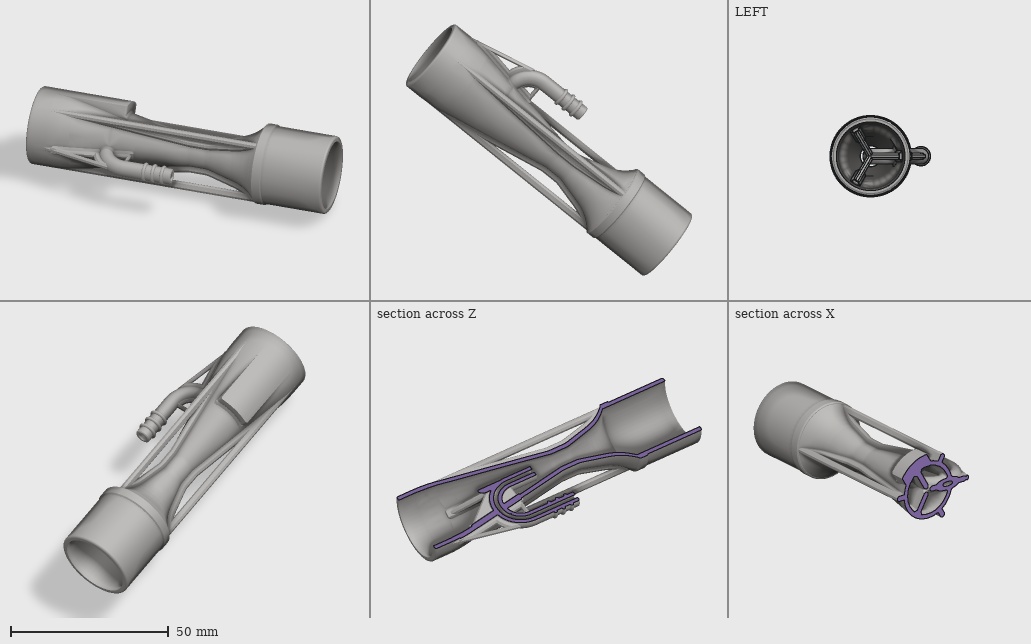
import cadquery as cq
import math

LENGTH = 97.8
END_RADIUS = 25.0 / 2
BORE_RADIUS = 21.8 / 2
WALL = END_RADIUS - BORE_RADIUS
THROAT_RADIUS = 6.55 / 2 + WALL
END_ROUND = 0.7

COLLAR_RADIUS = 25.8 / 2
COLLAR_START = 74.6
COLLAR_END = 78.0
COLLAR_CHAMFER = 0.4

INLET_END = 6.3
INLET_CONE_START = 13.9
INLET_CONE_END = 50.8
THROAT_START = 51.9
THROAT_END = 56.6
OUTLET_CONE_START = 58.4
OUTLET_CONE_END = 66.4
FLARE_END = 73.7

INLET_ANGLE = math.radians(10.5)
OUTLET_ANGLE = math.radians(14.8)
FLARE_ANGLE = math.radians(45)

RIB_THICKNESS = 2.0
RIB_CHAMFER = 0.6
RIB_ANGLES = (0, 120, 240)
BAR_DEPTH = 2.5
STRIP_HEIGHT = 1.9
ROOT_SIZE = 0.6

PAD_END = 29.8
PAD_WIDTH = 11.6
PAD_ANGLE = 60
PAD_ROUND = 0.8
PAD_ROOT = 0.7
PAD_ROOT_BEVEL = 0.67

PIPE_RADIUS = 5.0 / 2
PIPE_BORE_RADIUS = 3.0 / 2
PIPE_ENTRY_X = 26.0
BEND_RADIUS = 7.6
BEND_X = PIPE_ENTRY_X + BEND_RADIUS
PIPE_END = 49.7
PIPE_CHAMFER = 0.3
NOZZLE_END = 43.0
BARB_STATIONS = (40.8, 43.7, 46.7)
BARB_ROUND = 0.6
BARB_RADIUS = 6.2 / 2
BARB_REACH = 19.0
PIPE_OFFSET = BARB_REACH - BARB_RADIUS

WALL_GAP = 0.001
EDGE_SAMPLES = (0.1, 0.3, 0.5, 0.8)

WEB_END = BEND_X + 0.3
WEB_ROOT_START = 8.5
WEB_SLOPE = math.radians(12.2)
WEB_BAR = 1.3
WEB_BEND_MARGIN = 1.6
WEB_INSIDE_MARGIN = 0.6
VANE_START = 14.3
VANE_START_RADIUS = 10.1
VANE_NOSE_X = 25.4
VANE_ROOT_SIZE = 1.0
VANE_ANGLES = (60, 180, 300)


def wall_profile(offset):
    """Area between the axis and the outer wall line moved out by `offset`."""
    inlet_cone_radius = END_RADIUS - (INLET_CONE_START - INLET_END) * math.tan(INLET_ANGLE / 2)
    inlet_neck_radius = THROAT_RADIUS + (THROAT_START - INLET_CONE_END) * math.tan(INLET_ANGLE / 2)
    outlet_neck_radius = THROAT_RADIUS + (OUTLET_CONE_START - THROAT_END) * math.tan(OUTLET_ANGLE / 2)
    outlet_cone_radius = outlet_neck_radius + (OUTLET_CONE_END - OUTLET_CONE_START) * math.tan(OUTLET_ANGLE)
    flare_mean_angle = (OUTLET_ANGLE + FLARE_ANGLE) / 2
    flare_radius = outlet_cone_radius + (FLARE_END - OUTLET_CONE_END) * math.tan(flare_mean_angle)
    rise_to_end = END_RADIUS - flare_radius
    return (
        cq.Workplane("XY")
        .moveTo(0, 0)
        .lineTo(0, END_RADIUS + offset)
        .lineTo(INLET_END, END_RADIUS + offset)
        .tangentArcPoint((INLET_CONE_START, inlet_cone_radius + offset), relative=False)
        .lineTo(INLET_CONE_END, inlet_neck_radius + offset)
        .tangentArcPoint((THROAT_START, THROAT_RADIUS + offset), relative=False)
        .lineTo(THROAT_END, THROAT_RADIUS + offset)
        .tangentArcPoint((OUTLET_CONE_START, outlet_neck_radius + offset), relative=False)
        .lineTo(OUTLET_CONE_END, outlet_cone_radius + offset)
        .tangentArcPoint((FLARE_END, flare_radius + offset), relative=False)
        .lineTo(FLARE_END + rise_to_end / math.tan(FLARE_ANGLE), END_RADIUS + offset)
        .lineTo(LENGTH, END_RADIUS + offset)
        .lineTo(LENGTH, 0)
        .close()
    )


def revolve_about_x(profile):
    return profile.revolve(360, (0, 0, 0), (1, 0, 0))


def plate(outline, thickness=RIB_THICKNESS):
    """Extrude an outline evenly to both sides of the XY plane."""
    return outline.extrude(thickness / 2, both=True)


def break_edges(flat):
    """Bevel every edge of both faces of a plate."""
    return flat.faces("<Z or >Z").edges().chamfer(RIB_CHAMFER)


def slope_root(slab, size):
    """Bevel a slab so that it slopes from the side of a rib down to the wall."""
    return slab.faces("<Z or >Z").edges().chamfer(size)


def turn(shape, angle):
    return shape.rotate((0, 0, 0), (1, 0, 0), angle)


def rectangle(x_min, x_max, y_min, y_max):
    return (
        cq.Workplane("XY")
        .moveTo((x_min + x_max) / 2, (y_min + y_max) / 2)
        .rect(x_max - x_min, y_max - y_min)
    )


def make_tube():
    tube = revolve_about_x(wall_profile(0))
    tube = tube.faces("<X or >X").edges().fillet(END_ROUND)
    collar = (
        cq.Workplane("YZ", origin=(COLLAR_START, 0, 0))
        .circle(COLLAR_RADIUS)
        .extrude(COLLAR_END - COLLAR_START)
        .edges()
        .chamfer(COLLAR_CHAMFER)
    )
    return tube.union(collar)


def make_rib():
    """Full-length rib on +Y, opened between its outer bar and the wall."""
    blank = plate(rectangle(INLET_END, COLLAR_START + COLLAR_CHAMFER, 0, END_RADIUS))
    window = plate(rectangle(INLET_END, COLLAR_START, 0, END_RADIUS - BAR_DEPTH))
    window = window.cut(plate(wall_profile(STRIP_HEIGHT)))
    return break_edges(blank.cut(window))


def make_pad():
    """Label pad flush with the tube end, its free end sloping down onto the cone."""

    def block(x_min, x_max):
        return plate(rectangle(x_min, x_max, 0, COLLAR_RADIUS), PAD_WIDTH)

    pad = block(INLET_END, PAD_END).edges(">X and |Y").fillet(PAD_ROUND)
    pad = pad.intersect(revolve_about_x(rectangle(0, LENGTH, 0, END_RADIUS)))
    root = block(PAD_END - PAD_ROUND, PAD_END + PAD_ROOT)
    root = root.intersect(revolve_about_x(wall_profile(PAD_ROOT)))
    root = root.faces(">X").edges("%CIRCLE").chamfer(PAD_ROOT_BEVEL)
    return turn(pad.union(root), PAD_ANGLE)


def pipe_path():
    """Runs from the nozzle tip on the axis, out through the wall on -Y and back along +X."""
    bend_reach = BEND_RADIUS * math.sqrt(0.5)
    outer_bend_y = BEND_RADIUS - PIPE_OFFSET
    return (
        cq.Workplane("XY")
        .moveTo(NOZZLE_END, 0)
        .lineTo(BEND_X, 0)
        .threePointArc((BEND_X - bend_reach, bend_reach - BEND_RADIUS), (PIPE_ENTRY_X, -BEND_RADIUS))
        .lineTo(PIPE_ENTRY_X, outer_bend_y)
        .threePointArc((BEND_X - bend_reach, outer_bend_y - bend_reach), (BEND_X, -PIPE_OFFSET))
        .lineTo(PIPE_END, -PIPE_OFFSET)
    )


def sweep_pipe(radius):
    return cq.Workplane("YZ", origin=(NOZZLE_END, 0, 0)).circle(radius).sweep(pipe_path())


def make_pipe():
    pipe = sweep_pipe(PIPE_RADIUS)
    pipe = pipe.faces(">X").edges().chamfer(PIPE_CHAMFER)
    ring_radius = BARB_RADIUS - BARB_ROUND
    for station in BARB_STATIONS:
        barb = (
            cq.Workplane("XY")
            .center(station, ring_radius - PIPE_OFFSET)
            .circle(BARB_ROUND)
            .revolve(360, (0, -ring_radius, 0), (1, -ring_radius, 0))
        )
        pipe = pipe.union(barb)
    return pipe


def make_outer_web():
    """Gusset between wall and pipe bend, with a window on each side of the bend."""
    bend_center = (BEND_X, BEND_RADIUS - PIPE_OFFSET)

    def web_line(x, inset):
        return inset - END_RADIUS - (x - INLET_END) * math.tan(WEB_SLOPE)

    def below_edge(inset, x_end):
        return (
            cq.Workplane("XY")
            .moveTo(INLET_END, 0)
            .lineTo(INLET_END, web_line(INLET_END, inset))
            .lineTo(x_end, web_line(x_end, inset))
            .lineTo(x_end, 0)
            .close()
        )

    def disc(radius):
        return plate(cq.Workplane("XY").center(*bend_center).circle(radius))

    wall_strip = plate(wall_profile(STRIP_HEIGHT)).mirror("XZ")
    bend_outside = BEND_RADIUS + PIPE_RADIUS
    bend_inside = BEND_RADIUS - PIPE_RADIUS
    front_window = plate(below_edge(WEB_BAR, PIPE_ENTRY_X)).cut(wall_strip)
    front_window = front_window.cut(disc(bend_outside + WEB_BEND_MARGIN))
    rear_window = disc(bend_inside - WEB_INSIDE_MARGIN).cut(wall_strip)
    rear_window = rear_window.intersect(plate(rectangle(PIPE_ENTRY_X, WEB_END - WEB_BAR, -PIPE_OFFSET, 0)))
    front = plate(below_edge(0, PIPE_ENTRY_X + PIPE_RADIUS))
    rear = plate(rectangle(PIPE_ENTRY_X, WEB_END, -PIPE_OFFSET, 0))
    web = front.union(rear).cut(front_window).cut(rear_window)

    root_thickness = RIB_THICKNESS + 2 * ROOT_SIZE
    root = plate(rectangle(WEB_ROOT_START, WEB_END + ROOT_SIZE, 0, END_RADIUS + ROOT_SIZE), root_thickness)
    root = root.intersect(plate(wall_profile(ROOT_SIZE), root_thickness))
    return break_edges(web).union(slope_root(root, ROOT_SIZE).mirror("XZ"))


def make_vane():
    """Vane on +Y from the wall to the nozzle bend."""
    outline = (
        cq.Workplane("XY")
        .moveTo(VANE_START, END_RADIUS)
        .lineTo(VANE_START, VANE_START_RADIUS)
        .lineTo(VANE_NOSE_X, 0)
        .lineTo(WEB_END, 0)
        .lineTo(WEB_END, END_RADIUS)
        .close()
    )
    root_thickness = RIB_THICKNESS + 2 * VANE_ROOT_SIZE
    root = plate(rectangle(VANE_START, WEB_END + VANE_ROOT_SIZE, 0, END_RADIUS), root_thickness)
    root = root.cut(plate(wall_profile(-WALL - VANE_ROOT_SIZE), root_thickness))
    return break_edges(plate(outline)).union(slope_root(root, VANE_ROOT_SIZE))


def join_pipe(tube):
    """Set the pipe into the hollow tube and fillet it to the wall, inside and outside."""
    wall = tube.val().Shells()[0]
    joined = tube.union(make_pipe())

    def lies_on_wall(edge):
        points = edge.positions(EDGE_SAMPLES)
        return all(wall.distance(cq.Vertex.makeVertex(*point.toTuple())) < WALL_GAP for point in points)

    near_entry = cq.selectors.BoxSelector(
        (PIPE_ENTRY_X - 2 * PIPE_RADIUS, -END_RADIUS, -PIPE_RADIUS),
        (PIPE_ENTRY_X + 2 * PIPE_RADIUS, -THROAT_RADIUS, PIPE_RADIUS),
    )
    return joined.edges(near_entry).filter(lies_on_wall).fillet(ROOT_SIZE)


bore = revolve_about_x(wall_profile(-WALL))
outer_envelope = revolve_about_x(wall_profile(0))

result = join_pipe(make_tube().union(make_pad()).cut(bore))

outer_details = make_outer_web()
for angle in RIB_ANGLES:
    outer_details = outer_details.union(turn(make_rib(), angle))
result = result.union(outer_details.cut(bore))

for angle in VANE_ANGLES:
    result = result.union(turn(make_vane(), angle).intersect(outer_envelope))

result = result.cut(sweep_pipe(PIPE_BORE_RADIUS))